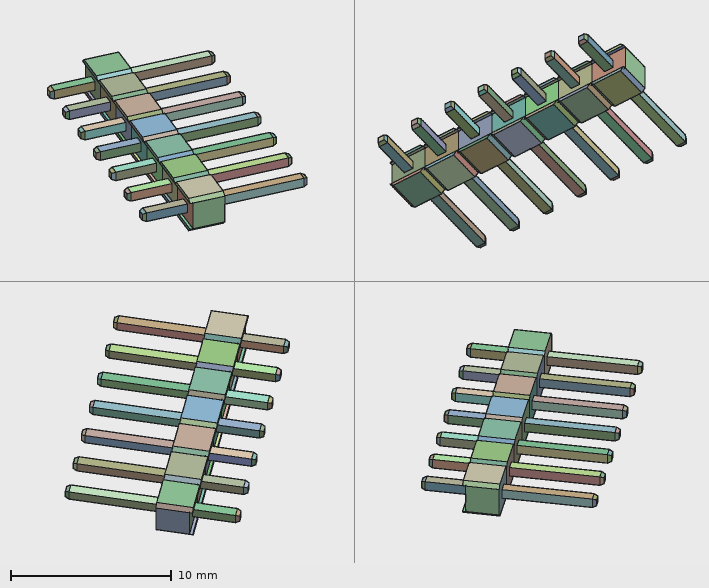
import cadquery as cq

segment_count = 7
row_length = 17.78
pitch = row_length / segment_count

block_height = 2.4
block_depth = 2.33
block_chamfer = 0.25
lip_overhang = 0.2

pin_width = 0.64
pin_length = 11.1
pin_back_length = 5.97
tip_length = 0.25
tip_inset = 0.095
tip_width = pin_width - 2 * tip_inset

wall_height = block_height - 2 * block_chamfer


def make_block():
    """Block with four chamfered long edges and a front face recessed between two lips."""
    block = (
        cq.Workplane("XY")
        .box(pitch, block_depth, block_height)
        .edges("|Y")
        .chamfer(block_chamfer)
        .translate((0, -block_depth / 2, 0))
    )
    front_recess = cq.Workplane("XY").box(pitch, lip_overhang, wall_height)
    return block.cut(front_recess.translate((0, lip_overhang / 2 - block_depth, 0)))


def make_tip(base_y, end_y):
    """Pyramid-shaped pin end, tapering from the full pin width at base_y to end_y."""
    base = cq.Wire.makePolygon(square_corners(pin_width, base_y), close=True)
    end = cq.Wire.makePolygon(square_corners(tip_width, end_y), close=True)
    return cq.Workplane(cq.Solid.makeLoft([base, end], True))


def square_corners(width, y):
    """Corners of a square centred on the pin axis, in the plane at the given Y."""
    half = width / 2
    signs = [(-1, -1), (1, -1), (1, 1), (-1, 1)]
    return [cq.Vector(half * sx, y, half * sz) for sx, sz in signs]


def make_pin():
    """Square pin with a tapered tip at each end."""
    back_end = pin_back_length
    front_end = back_end - pin_length
    shaft_length = pin_length - 2 * tip_length
    shaft = cq.Workplane("XY").box(pin_width, shaft_length, pin_width)
    shaft = shaft.translate((0, (back_end + front_end) / 2, 0))
    back_tip = make_tip(back_end - tip_length, back_end)
    front_tip = make_tip(front_end + tip_length, front_end)
    return shaft.union(back_tip).union(front_tip)


def make_segment(index):
    """One body: a block joined to its pin, placed at its position in the row."""
    center_x = (index - (segment_count - 1) / 2) * pitch
    segment = make_block().union(make_pin())
    return segment.translate((center_x, 0, 0)).solids().val()


segments = [make_segment(index) for index in range(segment_count)]

result = cq.Compound.makeCompound(segments)